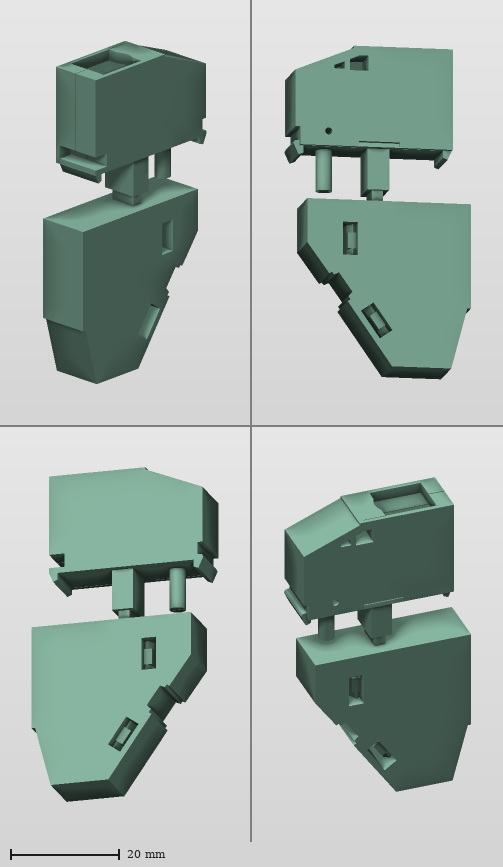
import cadquery as cq

width = 10.1
mid_x = width / 2
gap = 0.15
left_end_x = mid_x - gap / 2
right_start_x = mid_x + gap / 2

base_top = 30.95
base_depth = 30.6
window_width = 2.9
window_height = 6.15
upper_window_center = (22.5, 23.7)
lower_window_center = (17.6, 8.5)
window_tilt = 35
stop_width = 1.55
ridge_offset = 0.6
ridge_inset = 1.8
ridge_foot_inset = 3.35
ridge_wall_inset = 2.4
stop_tab_height = 3.0

housing_bottom = 41.05
housing_top = 59.9
housing_rear = 3.35
housing_front = 31.85
cover_front = 32.8
cover_bottom = 44.4
cover_edge_y = 21.85
plate_edge_y = 20.85
plate = 0.9

pocket_floor = housing_top - 2.15
pocket_rear = 6.45
pocket_front = 16.55
scoop_half_width = 2.0
scoop_depth = 0.55

carrier_top = 42.1
latch_opening_top = 44.7
latch_opening_depth = 3.0

post_diameter = 3.05
post_y = 26.55
post_bottom = 33.35

pin_y = 17.0
pin_width = 7.1
pin_depth = 4.1
blade_width = 5.35
blade_depth = 2.1

catch_slot_rear = 13.3
catch_slot_front = 20.9
catch_slot_top = 42.05
catch_top = 41.8
catch_top_x = 0.1
catch_bottom_x = 0

test_hole_diameter = 1.3
test_hole_center = (26.6, 43.7)
small_window = [(23.55, 55.5), (25.5, 55.5), (25.5, 56.2), (23.55, 56.9)]
large_window_rear = 19.15
large_window_front = 22.6
large_window_bottom = 55.3
large_window_top = 58.1
large_window_low_top = 57.4
large_window_bevel_y = 20.85
ramp_height = 0.85
ramp_depth = 0.9


def box(x, y, z):
    """Box given by (start, end) pairs along the three axes."""
    return (
        cq.Workplane("XY")
        .box(x[1] - x[0], y[1] - y[0], z[1] - z[0], centered=False)
        .translate((x[0], y[0], z[0]))
    )


def prism(outline, x_start, x_end):
    """Extrude a (Y, Z) outline along X."""
    return (
        cq.Workplane("YZ", origin=(x_start, 0, 0))
        .polyline(outline)
        .close()
        .extrude(x_end - x_start)
    )


def window_opening():
    """Through opening, centred on the X axis, with the stop left standing at its rear side."""
    half_width = window_width / 2
    half_height = window_height / 2
    opening = box((0, width), (-half_width, half_width), (-half_height, half_height))

    rear = -half_width
    ridge = rear + ridge_offset
    foot = rear + stop_width
    ridged_bar = (
        cq.Workplane("XY", origin=(0, 0, -half_height))
        .polyline([
            (ridge_wall_inset, rear),
            (ridge_inset, ridge),
            (ridge_foot_inset, foot),
            (width - ridge_foot_inset, foot),
            (width - ridge_inset, ridge),
            (width - ridge_wall_inset, rear),
        ])
        .close()
        .extrude(window_height)
    )
    tab = box(
        (ridge_inset, width - ridge_inset),
        (rear, foot),
        (-stop_tab_height / 2, stop_tab_height / 2),
    )
    return opening.cut(ridged_bar).cut(tab)


def make_base():
    outline = [
        (0, base_top),
        (base_depth, base_top),
        (base_depth, 22.7),
        (26.5, 17.0),
        (26.0, 17.3),
        (25.6, 16.85),
        (24.7, 17.25),
        (22.15, 13.7),
        (22.95, 12.9),
        (22.5, 12.3),
        (23.05, 11.9),
        (14.75, 0),
        (3.65, 0),
        (0.65, 11.4),
        (0, 11.4),
    ]
    base = prism(outline, 0, width)
    for center, angle in ((upper_window_center, 0), (lower_window_center, -window_tilt)):
        opening = window_opening().rotate((0, 0, 0), (1, 0, 0), angle)
        base = base.cut(opening.translate((0, *center)))
    return base


def left_profile(x_start, x_end):
    """Outline of the left half between two X positions."""
    outline = [
        (housing_rear, housing_bottom),
        (housing_rear, housing_top),
        (plate_edge_y, housing_top),
        (plate_edge_y, 58.9),
        (housing_front, 54.45),
        (housing_front, housing_bottom),
    ]
    return prism(outline, x_start, x_end)


def right_profile(x_start, x_end):
    """Outline of the right half, which the cover overhangs at the top and front."""
    outline = [
        (housing_rear, housing_bottom),
        (housing_rear, housing_top),
        (cover_edge_y, housing_top),
        (cover_edge_y, 59.5),
        (cover_front, 55.05),
        (cover_front, cover_bottom),
        (housing_front, cover_bottom),
        (housing_front, housing_bottom),
    ]
    return prism(outline, x_start, x_end)


def top_pocket():
    """Pocket in the top, with a shallow round scoop in its front wall."""
    return (
        cq.Workplane("XY", origin=(0, 0, pocket_floor))
        .moveTo(plate, pocket_rear)
        .lineTo(width - plate, pocket_rear)
        .lineTo(width - plate, pocket_front)
        .lineTo(mid_x + scoop_half_width, pocket_front)
        .threePointArc((mid_x, pocket_front + scoop_depth), (mid_x - scoop_half_width, pocket_front))
        .lineTo(plate, pocket_front)
        .close()
        .extrude(housing_top - pocket_floor)
    )


def underside_relief():
    """Seat of the carrier along the bottom, and the opening above its rear latch."""
    seat = box((plate, width), (0, cover_front), (housing_bottom, carrier_top))
    opening = box(
        (plate, width),
        (housing_rear, housing_rear + latch_opening_depth),
        (housing_bottom, latch_opening_top),
    )
    return seat.union(opening)


def side_openings():
    """Round hole and two windows, running from the side face to the split."""
    large_window = [
        (large_window_rear, large_window_bottom),
        (large_window_front, large_window_bottom),
        (large_window_front, large_window_low_top),
        (large_window_bevel_y, large_window_top),
        (large_window_rear, large_window_top),
    ]
    return (
        cq.Workplane("YZ")
        .center(*test_hole_center)
        .circle(test_hole_diameter / 2)
        .extrude(right_start_x)
        .union(prism(small_window, 0, right_start_x))
        .union(prism(large_window, 0, right_start_x))
    )


def ramp_recess():
    """Recess of the right half behind the large window, with a sloping floor."""
    ramp_bottom = large_window_bottom + gap
    back_x = right_start_x + ramp_depth
    return (
        cq.Workplane("XZ", origin=(0, large_window_rear, 0))
        .polyline([
            (right_start_x, ramp_bottom),
            (back_x, ramp_bottom + ramp_height),
            (back_x, large_window_top),
            (right_start_x, large_window_top),
        ])
        .close()
        .extrude(-(large_window_front - large_window_rear))
    )


def post():
    return (
        cq.Workplane("XY", origin=(mid_x, post_y, post_bottom))
        .circle(post_diameter / 2)
        .extrude(carrier_top - post_bottom)
    )


def half_post(x_start, x_end):
    """Part of the post between two X positions."""
    return post().intersect(box((x_start, x_end), (0, housing_front), (0, housing_top)))


def make_left_half():
    """Half with the left side wall, leaving room for the cover and a slit around its edge."""
    top = (pocket_floor, housing_top)
    cover_space = box((plate - gap, left_end_x), (pocket_front - gap, plate_edge_y), top)
    cover_space = cover_space.union(
        box(
            (plate - gap, mid_x - scoop_half_width),
            (pocket_front - gap, plate_edge_y),
            (pocket_floor - gap, housing_top),
        )
    )
    cover_space = cover_space.union(box((plate, left_end_x), (plate_edge_y, housing_front), top))
    catch_slot = box((0, plate), (catch_slot_rear, catch_slot_front), (housing_bottom, catch_slot_top))
    return (
        left_profile(0, left_end_x)
        .cut(top_pocket())
        .cut(cover_space)
        .cut(underside_relief())
        .cut(catch_slot)
        .cut(side_openings())
        .union(half_post(0, left_end_x))
    )


def make_right_half():
    """Half with the cover, which reaches over the left half, and a rim along that half's outline."""
    block = right_profile(right_start_x, width)
    rim = right_profile(0, right_start_x).cut(left_profile(0, right_start_x))
    cover = right_profile(plate, right_start_x).intersect(
        box((plate, right_start_x), (pocket_front, cover_front), (pocket_floor, housing_top))
    )
    return (
        block
        .union(rim)
        .union(cover)
        .cut(top_pocket())
        .cut(underside_relief())
        .cut(side_openings())
        .cut(ramp_recess())
        .union(half_post(right_start_x, width))
    )


def make_carrier():
    outline = [
        (housing_rear, carrier_top),
        (housing_rear, housing_bottom),
        (4.15, 39.35),
        (5.0, 39.7),
        (5.0, housing_bottom),
        (31.1, housing_bottom),
        (31.1, 39.7),
        (32.05, 39.35),
        (33.0, 41.45),
        (32.75, 41.95),
        (housing_front, carrier_top),
    ]
    start_x = plate + gap
    carrier = prism(outline, start_x, width).cut(post())

    pin = box(
        (mid_x - pin_width / 2, mid_x + pin_width / 2),
        (pin_y - pin_depth / 2, pin_y + pin_depth / 2),
        (post_bottom, housing_bottom),
    )
    blade = box(
        (mid_x - blade_width / 2, mid_x + blade_width / 2),
        (pin_y - blade_depth / 2, pin_y + blade_depth / 2),
        (base_top, post_bottom),
    )
    catch = (
        cq.Workplane("XZ", origin=(0, catch_slot_rear, 0))
        .polyline([
            (start_x, housing_bottom),
            (catch_bottom_x, housing_bottom),
            (catch_top_x, catch_top),
            (start_x, catch_top),
        ])
        .close()
        .extrude(-(catch_slot_front - catch_slot_rear))
    )
    return carrier.union(pin).union(blade).union(catch)


base = make_base()
left_half = make_left_half()
right_half = make_right_half()
carrier = make_carrier()

bodies = [base, left_half, right_half, carrier]
result = cq.Compound.makeCompound([body.solids().val() for body in bodies])